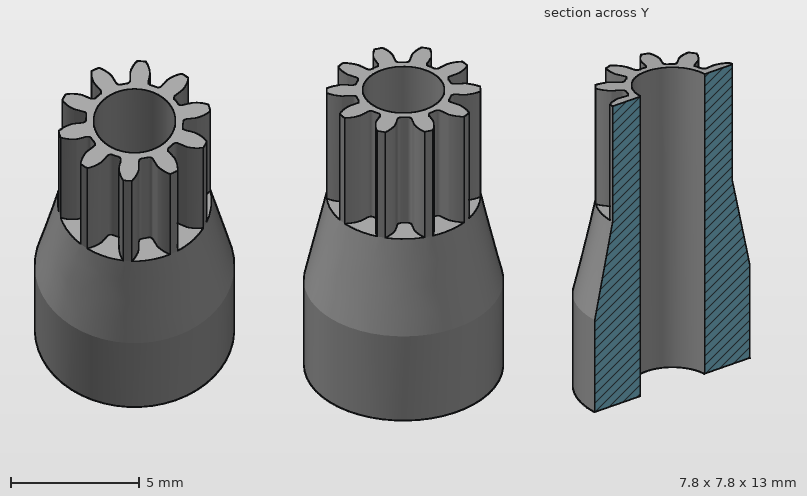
import cadquery as cq
import math

total_height = 13.0
base_radius = 3.9
bore_radius = 1.6

gear_height = 5.0
base_height = (total_height - gear_height) / 2
cone_height = base_height
gear_bottom = base_height + cone_height

tooth_count = 10
tip_radius = 3.0
root_radius = 1.9
root_fillet = 0.15
foot_half_width = 0.32
pitch_distance = 2.4
pitch_half_width = 0.39
shoulder_distance = 2.75
shoulder_half_width = 0.3
tip_half_width = 0.17


def make_body():
    """Cylindrical base with a cone that narrows to the tip circle of the teeth."""
    return (
        cq.Workplane("XZ")
        .lineTo(base_radius, 0)
        .lineTo(base_radius, base_height)
        .lineTo(tip_radius, gear_bottom)
        .lineTo(0, gear_bottom)
        .close()
        .revolve(360, (0, 0, 0), (0, 1, 0))
    )


def make_tooth():
    """One tooth along +X: straight foot, curved flanks and a tip on the tip circle."""
    tip_distance = math.sqrt(tip_radius**2 - tip_half_width**2)
    return (
        cq.Workplane("XY", origin=(0, 0, gear_bottom))
        .moveTo(bore_radius, -foot_half_width)
        .lineTo(pitch_distance, -pitch_half_width)
        .threePointArc((shoulder_distance, -shoulder_half_width), (tip_distance, -tip_half_width))
        .threePointArc((tip_radius, 0), (tip_distance, tip_half_width))
        .threePointArc((shoulder_distance, shoulder_half_width), (pitch_distance, pitch_half_width))
        .lineTo(bore_radius, foot_half_width)
        .close()
        .extrude(gear_height)
    )


def make_gear():
    """Root cylinder with all teeth, rounded where the flanks meet the root."""
    gear = cq.Workplane("XY", origin=(0, 0, gear_bottom)).circle(root_radius).extrude(gear_height)
    tooth = make_tooth()
    for index in range(tooth_count):
        angle = index * 360 / tooth_count
        gear = gear.union(tooth.rotate((0, 0, 0), (0, 0, 1), angle))
    root_corners = gear.edges("|Z").filter(
        lambda edge: math.hypot(edge.Center().x, edge.Center().y) < (root_radius + pitch_distance) / 2
    )
    return root_corners.fillet(root_fillet)


bore = cq.Workplane("XY").circle(bore_radius).extrude(total_height)
result = make_body().union(make_gear()).cut(bore)